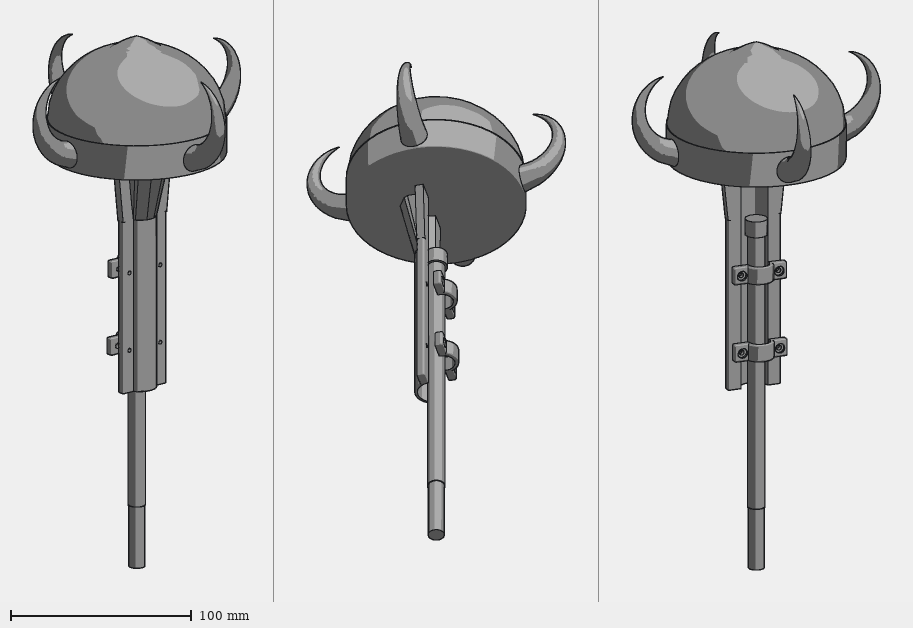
import cadquery as cq
import math


BAND_RADIUS = 100.0 / 2
BAND_HEIGHT = 20.0
DOME_RADIUS = 49.5
DOME_RISE = 42.0
CROWN_RADIUS = 14.8
CROWN_TOP = 68.0
CROWN_BULGE = 0.5

HORN_COUNT = 4
HORN_ARC_OFFSET = 46.5
HORN_ARC_HEIGHT = 36.8
HORN_INNER_RADIUS = 20.0
HORN_BASE_DIAMETER = 15.8
HORN_TIP_DIAMETER = 0.3
HORN_BASE_ANGLE = 270.0
HORN_TIP_ANGLE = 117.0
HORN_SECTIONS = 9
HORN_TAPER = 0.97

RIM_RADIUS = 0.5

TUBE_DIAMETER = 10.0
TUBE_TOP = -36.0
TUBE_BOTTOM = -205.3
COLLAR_DIAMETER = 12.5
COLLAR_HEIGHT = 9.3
ROD_DIAMETER = 9.0
ROD_BOTTOM = CROWN_TOP - 309.2

FLANGE_HALF_WIDTH = 15.8
FLANGE_THICKNESS = 4.5
WALL_RISE = 5.0
EDGE_RADIUS = 1.2
HOLE_Y = 11.0

BRACKET_FACE_X = 2.5
BRACKET_BOTTOM = -136.0
TROUGH_OUTER_RADIUS = FLANGE_THICKNESS + WALL_RISE
TROUGH_INNER_RADIUS = 8.0
BRACKET_WALL_HALF_WIDTH = math.sqrt(TROUGH_OUTER_RADIUS**2 - FLANGE_THICKNESS**2)
BOLT_DIAMETER = 2.2

FLARE_BOTTOM = TUBE_TOP
FLARE_HALF_WIDTH = 19.5
FLARE_BACK_X = 19.5
FLARE_BACK_Y = 4.5
FLARE_SIDE_X = 13.3
FLARE_SIDE_Y = 12.5
FLARE_CORNER_X = 15.5
FLARE_CORNER_Y = 11.0
FLARE_SIDE_ANGLE = 61.0
FLARE_CORNER_ANGLE = 54.0
FLARE_BACK_ANGLE = 15.0

CLAMP_HEIGHT = 10.0
CLAMP_FACES = [(-2.2, -66.2), (-3.0, -111.3)]
CLAMP_WALL_HALF_WIDTH = 7.7
CLAMP_BORE_X = 1.2
CLAMP_BORE_RADIUS = 6.2
CLAMP_EDGE_RADIUS = 1.0
CLAMP_HOLE_DIAMETER = 2.8
COUNTERBORE_DIAMETER = 5.5
COUNTERBORE_DEPTH = 1.5


def make_horn():
    """Horn on the +X side, lofted through circles that stand square to its arc."""
    wires = []
    for index in range(HORN_SECTIONS):
        share = index / (HORN_SECTIONS - 1)
        degrees = HORN_TIP_ANGLE + share * (HORN_BASE_ANGLE - HORN_TIP_ANGLE)
        angle = math.radians(180.0 - degrees)
        growth = HORN_BASE_DIAMETER - HORN_TIP_DIAMETER
        radius = (HORN_TIP_DIAMETER + growth * share**HORN_TAPER) / 2
        reach = HORN_INNER_RADIUS + radius
        center = cq.Vector(
            HORN_ARC_OFFSET + reach * math.cos(angle),
            0,
            HORN_ARC_HEIGHT + reach * math.sin(angle),
        )
        tangent = cq.Vector(-math.sin(angle), 0, math.cos(angle))
        inward = cq.Vector(-math.cos(angle), 0, -math.sin(angle))
        section = cq.Workplane(cq.Plane(center, inward, tangent)).circle(radius)
        wires.append(cq.Wire.assembleEdges(section.vals()[0].Edges()))
    return cq.Workplane(obj=cq.Solid.makeLoft(wires))


def make_helmet():
    """Band, dome and crown in one solid, with the horns spaced evenly round the band."""
    band = cq.Workplane("XY").circle(BAND_RADIUS).extrude(BAND_HEIGHT)
    band = band.faces("<Z").edges().fillet(RIM_RADIUS)
    dome_top = DOME_RISE * math.sqrt(1 - (CROWN_RADIUS / DOME_RADIUS) ** 2)
    dome_end_angle = math.degrees(math.acos(CROWN_RADIUS / DOME_RADIUS))
    dome = (
        cq.Workplane("XZ", origin=(0, 0, BAND_HEIGHT))
        .moveTo(DOME_RADIUS, 0)
        .ellipseArc(DOME_RADIUS, DOME_RISE, 0, dome_end_angle, startAtCurrent=True)
        .lineTo(0, dome_top)
        .lineTo(0, 0)
        .close()
        .revolve(360, (0, 0, 0), (0, 1, 0))
    )
    crown_base = BAND_HEIGHT + dome_top
    crown = (
        cq.Workplane("XZ")
        .moveTo(0, crown_base)
        .lineTo(CROWN_RADIUS, crown_base)
        .threePointArc((CROWN_RADIUS / 2, (crown_base + CROWN_TOP) / 2 + CROWN_BULGE), (0, CROWN_TOP))
        .close()
        .revolve(360, (0, 0, 0), (0, 1, 0))
    )
    helmet = band.union(dome).union(crown)
    horn = make_horn()
    for index in range(HORN_COUNT):
        helmet = helmet.union(horn.rotate((0, 0, 0), (0, 0, 1), index * 360 / HORN_COUNT))
    return helmet


def make_flange(height):
    """Flange plate with its face on X = 0, thickness toward +X and rounded upright edges."""
    return (
        cq.Workplane("XY")
        .rect(FLANGE_THICKNESS, 2 * FLANGE_HALF_WIDTH)
        .extrude(height)
        .edges("|Z")
        .fillet(EDGE_RADIUS)
        .translate((FLANGE_THICKNESS / 2, 0, 0))
    )


def make_saddle(height, wall_half_width):
    """Flange plate with an arched wall behind it, before the trough is cut."""
    wall = (
        cq.Workplane("XY")
        .moveTo(FLANGE_THICKNESS, -wall_half_width)
        .threePointArc((FLANGE_THICKNESS + WALL_RISE, 0), (FLANGE_THICKNESS, wall_half_width))
        .close()
        .extrude(height)
    )
    return make_flange(height).union(wall)


def bolt_holes(diameter, start_x, depth):
    """Pair of cylinders along +X, one through each flange, centred on Z = 0."""
    return (
        cq.Workplane("YZ", origin=(start_x, 0, 0))
        .pushPoints([(-HOLE_Y, 0), (HOLE_Y, 0)])
        .circle(diameter / 2)
        .extrude(depth)
    )


def draw_flare_section(sketch, side_start, side_end, corner_end, back_end):
    """Flare section, mirrored about Y = 0: side, bevelled corner, slanted flank and flat back."""
    return (
        sketch.moveTo(side_start[0], -side_start[1])
        .lineTo(side_end[0], -side_end[1])
        .lineTo(corner_end[0], -corner_end[1])
        .lineTo(back_end[0], -back_end[1])
        .lineTo(*back_end)
        .lineTo(*corner_end)
        .lineTo(*side_end)
        .lineTo(*side_start)
        .close()
    )


def trough_point(degrees):
    """Point on the outside of the trough wall, at an angle from the +X direction."""
    angle = math.radians(degrees)
    return (
        BRACKET_FACE_X + TROUGH_OUTER_RADIUS * math.cos(angle),
        TROUGH_OUTER_RADIUS * math.sin(angle),
    )


def make_flare():
    """Wall that widens from the trough section up to the helmet rim."""
    flare = draw_flare_section(
        cq.Workplane("XY", origin=(0, 0, FLARE_BOTTOM)),
        trough_point(90),
        trough_point(FLARE_SIDE_ANGLE),
        trough_point(FLARE_CORNER_ANGLE),
        trough_point(FLARE_BACK_ANGLE),
    )
    flare = draw_flare_section(
        flare.workplane(offset=-FLARE_BOTTOM),
        (BRACKET_FACE_X, FLARE_SIDE_Y),
        (FLARE_SIDE_X, FLARE_SIDE_Y),
        (FLARE_CORNER_X, FLARE_CORNER_Y),
        (FLARE_BACK_X, FLARE_BACK_Y),
    )
    return flare.loft(ruled=True)


def make_bracket():
    """Saddle with a flared head that meets the helmet rim, drilled in line with the clamps."""
    straight = make_saddle(FLARE_BOTTOM - BRACKET_BOTTOM, BRACKET_WALL_HALF_WIDTH)
    straight = straight.faces("<Z").edges("not <X").fillet(RIM_RADIUS)
    straight = straight.translate((BRACKET_FACE_X, 0, BRACKET_BOTTOM))

    plate = (
        cq.Workplane("YZ", origin=(BRACKET_FACE_X, 0, 0))
        .polyline(
            [
                (-FLANGE_HALF_WIDTH, FLARE_BOTTOM),
                (FLANGE_HALF_WIDTH, FLARE_BOTTOM),
                (FLARE_HALF_WIDTH, 0),
                (-FLARE_HALF_WIDTH, 0),
            ]
        )
        .close()
        .extrude(FLANGE_THICKNESS)
    )

    bore = (
        cq.Workplane("XY", origin=(BRACKET_FACE_X, 0, BRACKET_BOTTOM))
        .circle(TROUGH_INNER_RADIUS)
        .extrude(-BRACKET_BOTTOM)
    )
    bracket = straight.union(plate).union(make_flare()).cut(bore)
    for _, clamp_z in CLAMP_FACES:
        bracket = bracket.cut(
            bolt_holes(BOLT_DIAMETER, BRACKET_FACE_X, FLANGE_THICKNESS).translate((0, 0, clamp_z))
        )
    return bracket


def make_clamp(face_x, center_z):
    """Saddle strap turned to bulge toward -X, with rounded rims and counterbored ears."""
    bore = (
        cq.Workplane("XY", origin=(CLAMP_BORE_X, 0, 0))
        .circle(CLAMP_BORE_RADIUS)
        .extrude(CLAMP_HEIGHT)
    )
    strap = make_saddle(CLAMP_HEIGHT, CLAMP_WALL_HALF_WIDTH)
    strap = strap.faces("<Z or >Z").edges("not <X").fillet(CLAMP_EDGE_RADIUS)
    strap = strap.cut(bore).translate((0, 0, -CLAMP_HEIGHT / 2))
    strap = strap.cut(bolt_holes(CLAMP_HOLE_DIAMETER, 0, FLANGE_THICKNESS))
    strap = strap.cut(
        bolt_holes(COUNTERBORE_DIAMETER, FLANGE_THICKNESS - COUNTERBORE_DEPTH, COUNTERBORE_DEPTH)
    )
    return strap.rotate((0, 0, 0), (0, 0, 1), 180).translate((face_x, 0, center_z))


def make_tube():
    """Tube with a wider collar at its top end."""
    tube = (
        cq.Workplane("XY", origin=(0, 0, TUBE_BOTTOM))
        .circle(TUBE_DIAMETER / 2)
        .extrude(TUBE_TOP - TUBE_BOTTOM)
    )
    collar = (
        cq.Workplane("XY", origin=(0, 0, TUBE_TOP - COLLAR_HEIGHT))
        .circle(COLLAR_DIAMETER / 2)
        .extrude(COLLAR_HEIGHT)
    )
    return tube.union(collar)


def make_rod():
    """Thinner rod that continues from the lower end of the tube."""
    return (
        cq.Workplane("XY", origin=(0, 0, ROD_BOTTOM))
        .circle(ROD_DIAMETER / 2)
        .extrude(TUBE_BOTTOM - ROD_BOTTOM)
    )


helmet = make_helmet()
bracket = make_bracket()
tube = make_tube()
rod = make_rod()
clamps = [make_clamp(face_x, center_z) for face_x, center_z in CLAMP_FACES]

result = cq.Compound.makeCompound(
    [helmet.val(), bracket.val(), tube.val(), rod.val(), *[clamp.val() for clamp in clamps]]
)